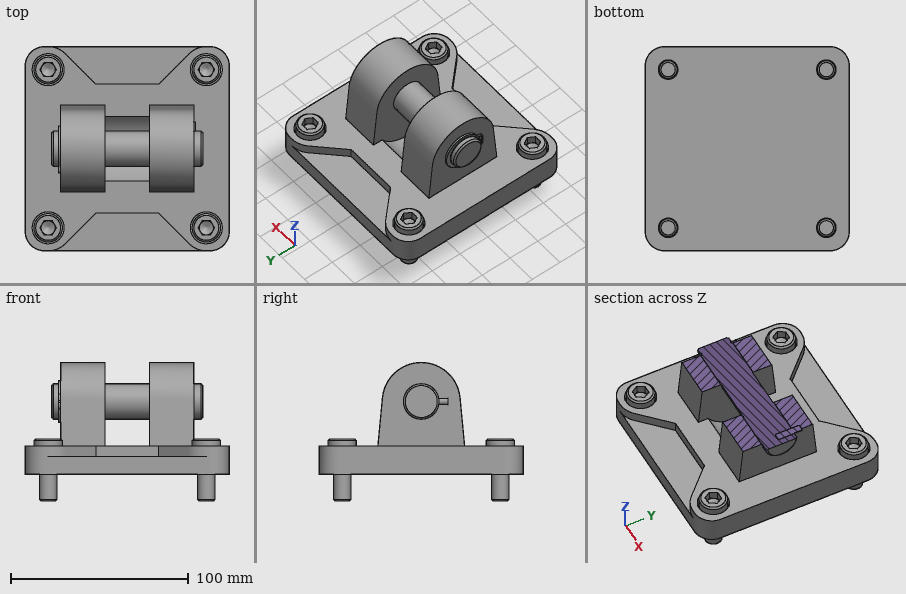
import cadquery as cq
import math

plate_size = 115
plate_thickness = 16
plate_corner_radius = 11
bolt_spacing = 89

pocket_depth = 6
pocket_half_width = 17.7
pocket_inner_y = 36.3
pocket_end_radius = 14
pocket_flank_angle = 45

lug_gap = 25
lug_thickness = 25
lug_radius = 22
lug_flank_angle = 5.4
axis_height = plate_thickness + 25
lug_inner_x = lug_gap / 2
lug_outer_x = lug_inner_x + lug_thickness

trough_diameter = 44
trough_half_width = 18.2

pin_diameter = 20
pin_length = 85
pin_chamfer = 1

ring_thickness = 1.2
ring_bore_diameter = 19
ring_outer_diameter = 23.5
ring_offset = 0.95
ring_gap = 1
ear_diameter = 4
ear_hole_diameter = 2
ear_y = -11.7
ear_spacing = 4.2
ear_blend_radius = 2

lock_pin_diameter = 4
lock_pin_end_y = 15
lock_pin_protrusion = 1
lock_pin_x = lug_outer_x + lock_pin_protrusion - lock_pin_diameter / 2

shank_diameter = 10
shank_clearance_diameter = 11
shank_chamfer = 1
shank_projection = 15
head_diameter = 16
head_height = 10
head_chamfer = 1
head_projection = 4
counterbore_diameter = 18
counterbore_depth = head_height - head_projection
socket_across_flats = 8
socket_across_corners = socket_across_flats / math.cos(math.pi / 6)
socket_depth = 5
socket_tip_angle = 120


def x_cylinder(diameter, x_start, x_end, y=0.0, z=axis_height):
    """Cylinder along X between two X positions."""
    return cq.Workplane("YZ", origin=(x_start, y, z)).circle(diameter / 2).extrude(x_end - x_start)


def make_lug(x_start):
    """Round-topped lug with flanks that spread toward the plate."""
    angle = math.radians(lug_flank_angle)
    tangent_y = lug_radius * math.cos(angle)
    tangent_z = axis_height + lug_radius * math.sin(angle)
    foot_y = tangent_y + (tangent_z - plate_thickness) * math.tan(angle)
    return (
        cq.Workplane("YZ", origin=(x_start, 0, 0))
        .moveTo(-foot_y, plate_thickness)
        .lineTo(-tangent_y, tangent_z)
        .threePointArc((0, axis_height + lug_radius), (tangent_y, tangent_z))
        .lineTo(foot_y, plate_thickness)
        .close()
        .extrude(lug_thickness)
    )


def make_edge_pocket():
    """Open pocket on the -Y edge, its flanks curving into the edge at both ends."""
    angle = math.radians(pocket_flank_angle)
    edge_y = -plate_size / 2
    arc_end_y = edge_y + pocket_end_radius * (1 - math.cos(angle))
    arc_end_x = pocket_half_width + (-pocket_inner_y - arc_end_y) / math.tan(angle)
    arc_start_x = arc_end_x + pocket_end_radius * math.sin(angle)
    arc_mid_x = arc_start_x - pocket_end_radius * math.sin(angle / 2)
    arc_mid_y = edge_y + pocket_end_radius * (1 - math.cos(angle / 2))
    return (
        cq.Workplane("XY", origin=(0, 0, plate_thickness - pocket_depth))
        .moveTo(-arc_start_x, edge_y)
        .threePointArc((-arc_mid_x, arc_mid_y), (-arc_end_x, arc_end_y))
        .lineTo(-pocket_half_width, -pocket_inner_y)
        .lineTo(pocket_half_width, -pocket_inner_y)
        .lineTo(arc_end_x, arc_end_y)
        .threePointArc((arc_mid_x, arc_mid_y), (arc_start_x, edge_y))
        .close()
        .extrude(pocket_depth)
    )


def make_lock_pin():
    """Locking pin from the clevis pin axis out past the +Y side of the clevis pin."""
    return (
        cq.Workplane("XZ", origin=(lock_pin_x, 0, axis_height))
        .circle(lock_pin_diameter / 2)
        .extrude(-lock_pin_end_y)
    )


def make_bracket():
    """Square plate with two lugs, edge pockets, trough, screw holes and pin bore."""
    body = (
        cq.Workplane("XY")
        .rect(plate_size, plate_size)
        .extrude(plate_thickness)
        .edges("|Z")
        .fillet(plate_corner_radius)
    )
    pocket = make_edge_pocket()
    body = body.cut(pocket).cut(pocket.mirror("XZ"))

    trough_radius = trough_diameter / 2
    trough_z = plate_thickness + math.sqrt(trough_radius**2 - trough_half_width**2)
    body = body.cut(x_cylinder(trough_diameter, -lug_inner_x, lug_inner_x, z=trough_z))

    for lug_start in (-lug_outer_x, lug_inner_x):
        body = body.union(make_lug(lug_start))

    body = (
        body.copyWorkplane(cq.Workplane("XY", origin=(0, 0, plate_thickness)))
        .rect(bolt_spacing, bolt_spacing, forConstruction=True)
        .vertices()
        .cboreHole(shank_clearance_diameter, counterbore_diameter, counterbore_depth)
    )
    body = body.cut(x_cylinder(pin_diameter, -lug_outer_x, lug_outer_x))
    return body.cut(make_lock_pin())


def make_clevis_pin():
    """Chamfered pin with the ring groove and the blind hole of the locking pin."""
    pin = x_cylinder(pin_diameter, -pin_length / 2, pin_length / 2).edges().chamfer(pin_chamfer)
    ring_start = -lug_outer_x - ring_thickness
    groove = x_cylinder(pin_diameter, ring_start, -lug_outer_x)
    groove = groove.cut(x_cylinder(ring_bore_diameter, ring_start, -lug_outer_x))
    return pin.cut(groove).cut(make_lock_pin())


def make_retaining_ring():
    """Split eccentric ring with two drilled ears on its -Y side."""
    x_start = -lug_outer_x - ring_thickness
    ring = x_cylinder(ring_outer_diameter, x_start, -lug_outer_x, y=ring_offset)
    ears = (
        cq.Workplane("YZ", origin=(x_start, ear_y, axis_height))
        .slot2D(ear_spacing + ear_diameter, ear_diameter, 90)
        .extrude(ring_thickness)
    )
    corner_zone = cq.selectors.BoxSelector(
        (x_start, ear_y + ear_diameter / 4, axis_height - ear_spacing),
        (-lug_outer_x, ear_y + ear_diameter / 2, axis_height + ear_spacing),
    )
    ring = ring.union(ears).edges("|X").edges(corner_zone).fillet(ear_blend_radius)
    for side in (-1, 1):
        ear_z = axis_height + side * ear_spacing / 2
        ring = ring.cut(x_cylinder(ear_hole_diameter, x_start, -lug_outer_x, ear_y, ear_z))
    ring = ring.cut(x_cylinder(ring_bore_diameter, x_start, -lug_outer_x))
    split = cq.Workplane("XY").box(
        ring_thickness, ring_outer_diameter, ring_gap, centered=(False, True, True)
    )
    return ring.cut(split.translate((x_start, -ring_outer_diameter / 2, axis_height)))


def make_screw(x, y):
    """Socket head screw standing in the counterbore at (x, y)."""
    head_bottom = plate_thickness - counterbore_depth
    head_top = head_bottom + head_height
    shank = (
        cq.Workplane("XY", origin=(x, y, -shank_projection))
        .circle(shank_diameter / 2)
        .extrude(shank_projection + head_bottom)
        .faces("<Z")
        .chamfer(shank_chamfer)
    )
    head = (
        cq.Workplane("XY", origin=(x, y, head_bottom))
        .circle(head_diameter / 2)
        .extrude(head_height)
        .faces(">Z")
        .chamfer(head_chamfer)
    )
    socket_bottom = head_top - socket_depth
    socket = (
        cq.Workplane("XY", origin=(x, y, socket_bottom))
        .polygon(6, socket_across_corners)
        .extrude(socket_depth)
    )
    tip_radius = socket_across_flats / 2
    tip_height = tip_radius / math.tan(math.radians(socket_tip_angle / 2))
    tip = cq.Workplane(
        cq.Solid.makeCone(tip_radius, 0, tip_height, cq.Vector(x, y, socket_bottom), cq.Vector(0, 0, -1))
    )
    return shank.union(head).cut(socket).cut(tip)


bracket = make_bracket()
clevis_pin = make_clevis_pin()
retaining_ring = make_retaining_ring()
lock_pin = make_lock_pin()
screws = [
    make_screw(side_x * bolt_spacing / 2, side_y * bolt_spacing / 2)
    for side_x in (-1, 1)
    for side_y in (-1, 1)
]

result = cq.Compound.makeCompound(
    [
        bracket.val(),
        clevis_pin.val(),
        retaining_ring.val(),
        lock_pin.val(),
        *[screw.val() for screw in screws],
    ]
)